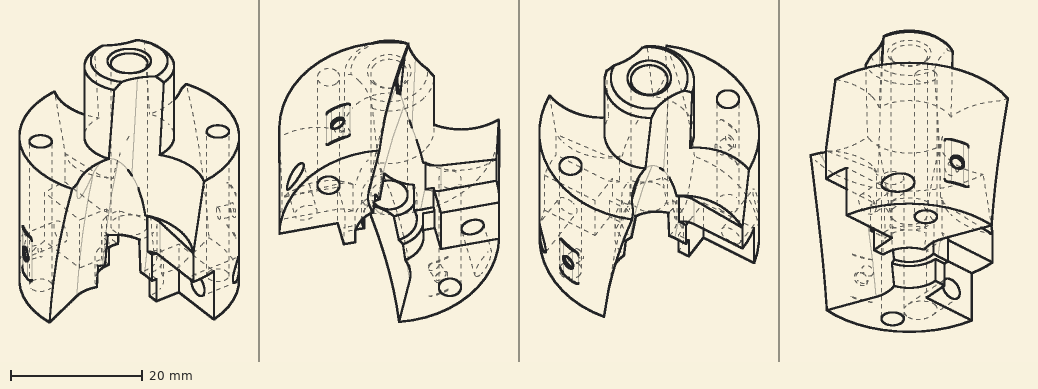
import cadquery as cq
import math

BODY_RADIUS = 16.75
BODY_HEIGHT = 26.4
TOTAL_HEIGHT = 40.26
SHANK_RADIUS = 6.85
SHANK_CHAMFER = 1.0
OUTSIDE = 2 * BODY_RADIUS

BORE_RADIUS = 2.81
BORE_CHAMFER = 0.5
PILOT_RADIUS = 4.2
PILOT_DEPTH = 10.1
RECESS_RADIUS = 5.25
RECESS_DEPTH = 4.1

TWIST_PER_MM = 0.587
FLUTE_TRAILING_OUTER = (-8.8, 18.2)
FLUTE_TRAILING_START = (-5.65, 13.7)
FLUTE_TRAILING_MIDDLE = (-3.1, 7.0)
FLUTE_ROOT = (-4.2, 2.3)
FLUTE_LEADING_MIDDLE = (-9.2, -2.2)
FLUTE_LEADING_RIM = (-16.6, -2.07)
FLUTE_LEADING_OUTER = (-21.0, -0.5)
FLUTE_END_Z_ON_AXIS = 15.9
FLUTE_END_SLOPE = 0.107

GULLET_FLOOR_Y = 0.8
GULLET_RIM = (-2.28, 16.6)
GULLET_WALL_LEAN = 0.45
GULLET_WALL_FOOT_Y = 9.05
GULLET_UPPER_ROUND = 5.5
GULLET_ROUNDS_MEET_Y = 4.5
GULLET_SWEEP_RADIUS = 143.0
GULLET_SWEEP_ANGLE = 30.0
GULLET_AXIS_DROP = 12.1

SEAT_INNER_X = 5.87
SEAT_ROUND_WIDTH = 2.21
SEAT_TOP = 15.6
STEP_INNER_X = 7.1
STEP_DEPTH = 4.2
STEP_HEIGHT = 8.86

CROSS_HOLE_X = 12.05
CROSS_HOLE_Z = 4.0
CROSS_HOLE_RADIUS = 1.73
AXIAL_HOLE_DISTANCE = 13.56
AXIAL_HOLE_ANGLE = 60.0
AXIAL_HOLE_RADIUS = 1.7

PAD_ANGLE = 75.0
PAD_WIDTH = 4.04
PAD_FLAT_WIDTH = 2.0
PAD_HEIGHT = 8.0
PAD_CENTER_Z = 8.85
PAD_RAISE = 0.18
PAD_CORNER = 0.4
PAD_ROOT = 2.0
SCREW_RADIUS = 0.95
SCREW_MOUTH_RADIUS = 1.2
SCREW_DEPTH = 2.4


def make_body():
    shank = (
        cq.Workplane("XY")
        .circle(SHANK_RADIUS)
        .extrude(TOTAL_HEIGHT)
        .faces(">Z")
        .chamfer(SHANK_CHAMFER)
    )
    return cq.Workplane("XY").circle(BODY_RADIUS).extrude(BODY_HEIGHT).union(shank)


def make_bore():
    mouth_radius = BORE_RADIUS + BORE_CHAMFER
    return (
        cq.Workplane("XZ")
        .polyline([
            (0, 0),
            (RECESS_RADIUS, 0),
            (RECESS_RADIUS, RECESS_DEPTH),
            (PILOT_RADIUS, RECESS_DEPTH),
            (PILOT_RADIUS, PILOT_DEPTH),
            (BORE_RADIUS, PILOT_DEPTH),
            (BORE_RADIUS, TOTAL_HEIGHT - BORE_CHAMFER),
            (mouth_radius, TOTAL_HEIGHT),
            (0, TOTAL_HEIGHT),
        ])
        .close()
        .revolve(360, (0, 0), (0, 1))
    )


def make_flute():
    section = (
        cq.Workplane("XY")
        .moveTo(*FLUTE_TRAILING_OUTER)
        .lineTo(*FLUTE_TRAILING_START)
        .threePointArc(FLUTE_TRAILING_MIDDLE, FLUTE_ROOT)
        .threePointArc(FLUTE_LEADING_MIDDLE, FLUTE_LEADING_RIM)
        .lineTo(*FLUTE_LEADING_OUTER)
        .lineTo(-OUTSIDE, FLUTE_TRAILING_OUTER[1])
        .close()
    )
    flute = section.twistExtrude(TOTAL_HEIGHT, TWIST_PER_MM * TOTAL_HEIGHT)
    flute = flute.rotate((0, 0, 0), (0, 0, 1), -TWIST_PER_MM * BODY_HEIGHT)
    above_ledge = (
        cq.Workplane("XZ", origin=(0, 2 * OUTSIDE, 0))
        .moveTo(OUTSIDE, FLUTE_END_Z_ON_AXIS + OUTSIDE * FLUTE_END_SLOPE)
        .lineTo(-2 * OUTSIDE, FLUTE_END_Z_ON_AXIS - 2 * OUTSIDE * FLUTE_END_SLOPE)
        .lineTo(-2 * OUTSIDE, 2 * TOTAL_HEIGHT)
        .lineTo(OUTSIDE, 2 * TOTAL_HEIGHT)
        .close()
        .extrude(4 * OUTSIDE)
    )
    return flute.intersect(above_ledge)


def make_gullet():
    sweep_shift = GULLET_SWEEP_RADIUS - math.sqrt(GULLET_SWEEP_RADIUS**2 - GULLET_AXIS_DROP**2)

    def wall_x(y):
        return GULLET_RIM[0] + sweep_shift - GULLET_WALL_LEAN * (y - GULLET_RIM[1])

    def on_round(center, radius, angle):
        return (center[0] + radius * math.cos(angle), center[1] + radius * math.sin(angle))

    foot = (wall_x(GULLET_WALL_FOOT_Y), GULLET_WALL_FOOT_Y)
    foot_angle = math.atan(GULLET_WALL_LEAN)
    upper_center = on_round(foot, -GULLET_UPPER_ROUND, foot_angle)
    meet_angle = math.asin((GULLET_ROUNDS_MEET_Y - upper_center[1]) / GULLET_UPPER_ROUND)
    meet = on_round(upper_center, GULLET_UPPER_ROUND, meet_angle)
    upper_middle = on_round(upper_center, GULLET_UPPER_ROUND, (foot_angle + meet_angle) / 2)

    lower_round = (GULLET_ROUNDS_MEET_Y - GULLET_FLOOR_Y) / (1 + math.sin(meet_angle))
    lower_center = on_round(meet, -lower_round, meet_angle)
    lower_middle = on_round(lower_center, lower_round, (meet_angle - math.pi / 2) / 2)

    axis_x = -GULLET_SWEEP_RADIUS
    sweep = (
        cq.Workplane("XY", origin=(0, 0, -GULLET_AXIS_DROP))
        .moveTo(-OUTSIDE, GULLET_FLOOR_Y)
        .lineTo(lower_center[0], GULLET_FLOOR_Y)
        .threePointArc(lower_middle, meet)
        .threePointArc(upper_middle, foot)
        .lineTo(wall_x(OUTSIDE), OUTSIDE)
        .lineTo(-OUTSIDE, OUTSIDE)
        .close()
        .revolve(GULLET_SWEEP_ANGLE, (axis_x, 1), (axis_x, 0))
    )
    body_height = cq.Workplane("XY").box(
        4 * OUTSIDE, 4 * OUTSIDE, BODY_HEIGHT, centered=(True, True, False)
    )
    return sweep.intersect(body_height)


def make_seat():
    rise = GULLET_FLOOR_Y
    seat_round = (SEAT_ROUND_WIDTH**2 + rise**2) / (2 * rise)
    half_angle = math.asin(SEAT_ROUND_WIDTH / seat_round) / 2
    face_end_x = -SEAT_INNER_X - SEAT_ROUND_WIDTH
    round_middle = (
        face_end_x + seat_round * math.sin(half_angle),
        seat_round * (1 - math.cos(half_angle)),
    )
    seat = (
        cq.Workplane("XY", origin=(0, 0, STEP_HEIGHT))
        .moveTo(-OUTSIDE, 0)
        .lineTo(face_end_x, 0)
        .threePointArc(round_middle, (-SEAT_INNER_X, rise))
        .lineTo(-SEAT_INNER_X, BODY_RADIUS)
        .lineTo(-OUTSIDE, BODY_RADIUS)
        .close()
        .extrude(SEAT_TOP - STEP_HEIGHT)
    )
    relief = (
        cq.Workplane("XY")
        .rect(OUTSIDE, GULLET_FLOOR_Y, centered=False)
        .extrude(RECESS_DEPTH)
        .translate((-PILOT_RADIUS - OUTSIDE, 0, 0))
    )
    step = (
        cq.Workplane("XY")
        .rect(OUTSIDE, STEP_DEPTH + OUTSIDE / 2, centered=False)
        .extrude(STEP_HEIGHT)
        .translate((-STEP_INNER_X - OUTSIDE, -STEP_DEPTH, 0))
    )
    return seat.union(step).union(relief)


def make_cross_hole():
    return (
        cq.Workplane("XZ", origin=(CROSS_HOLE_X, 0, CROSS_HOLE_Z))
        .circle(CROSS_HOLE_RADIUS)
        .extrude(OUTSIDE, both=True)
    )


def make_axial_hole():
    angle = math.radians(AXIAL_HOLE_ANGLE)
    return (
        cq.Workplane("XY")
        .center(AXIAL_HOLE_DISTANCE * math.cos(angle), AXIAL_HOLE_DISTANCE * math.sin(angle))
        .circle(AXIAL_HOLE_RADIUS)
        .extrude(BODY_HEIGHT)
    )


def make_pad():
    half_width = PAD_WIDTH / 2
    half_flat = PAD_FLAT_WIDTH / 2
    crown = BODY_RADIUS + PAD_RAISE
    edge_x = math.sqrt(BODY_RADIUS**2 - half_width**2)
    flat_x = math.sqrt(crown**2 - half_flat**2)
    root_x = BODY_RADIUS - PAD_ROOT
    pad = (
        cq.Workplane("XY", origin=(0, 0, PAD_CENTER_Z - PAD_HEIGHT / 2))
        .moveTo(root_x, -half_width)
        .lineTo(edge_x, -half_width)
        .lineTo(flat_x, -half_flat)
        .threePointArc((crown, 0), (flat_x, half_flat))
        .lineTo(edge_x, half_width)
        .lineTo(root_x, half_width)
        .close()
        .extrude(PAD_HEIGHT)
    )
    outline = (
        cq.Workplane("YZ", origin=(root_x, 0, PAD_CENTER_Z))
        .rect(PAD_WIDTH, PAD_HEIGHT)
        .extrude(2 * PAD_ROOT)
        .edges("|X")
        .fillet(PAD_CORNER)
    )
    return pad.intersect(outline).rotate((0, 0, 0), (0, 0, 1), PAD_ANGLE)


def make_screw_hole():
    crown = BODY_RADIUS + PAD_RAISE
    mouth_depth = SCREW_MOUTH_RADIUS - SCREW_RADIUS
    hole = (
        cq.Workplane("XY", origin=(0, 0, PAD_CENTER_Z))
        .polyline([
            (crown - SCREW_DEPTH, 0),
            (crown - SCREW_DEPTH, SCREW_RADIUS),
            (crown - mouth_depth, SCREW_RADIUS),
            (crown, SCREW_MOUTH_RADIUS),
            (crown, 0),
        ])
        .close()
        .revolve(360, (0, 0), (1, 0))
    )
    return hole.rotate((0, 0, 0), (0, 0, 1), PAD_ANGLE)


def half_turn_copy(shape):
    return shape.rotate((0, 0, 0), (0, 0, 1), 180)


part = make_body()
pad = make_pad()
part = part.union(pad).union(half_turn_copy(pad))
part = part.cut(make_bore())
for cutter in (
    make_flute(),
    make_gullet(),
    make_seat(),
    make_cross_hole(),
    make_axial_hole(),
    make_screw_hole(),
):
    part = part.cut(cutter).cut(half_turn_copy(cutter))

result = part